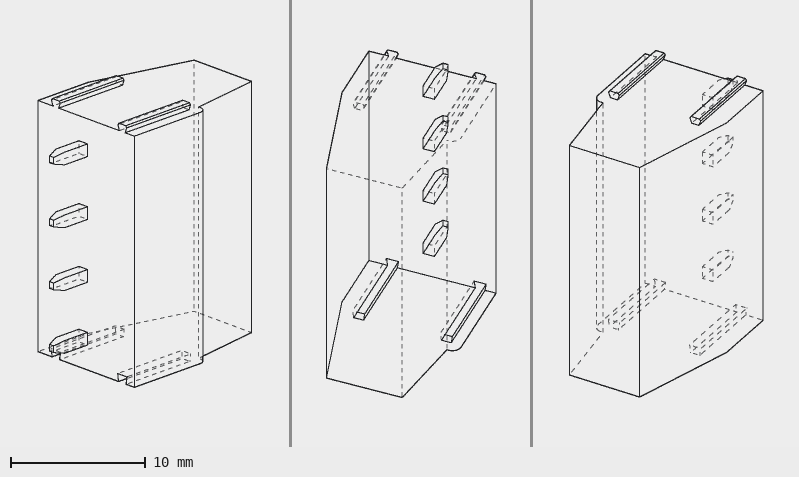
import cadquery as cq

overall_height = 20.6
pin_count = 4
pin_pitch = 5.0

body_width = 10.2
body_depth = 14.0
body_height = pin_count * pin_pitch
rear_left = 2.3
rear_right = 8.38
left_wall_depth = 5.3
shoulder_left = 9.33
shoulder_depth = 7.55
shoulder_radius = 0.72

rail_height = overall_height - body_height
rail_length = 6.65
rail_positions = (1.9, 8.92)
rail_base_width = 0.62
rail_full_width = 0.93
rail_chamfer_width = 0.1
rail_chamfer_height = 0.15
slot_depth = 0.62
slot_mouth_width = 0.78
slot_floor_width = 0.97

pin_x = 4.8
pin_width = 0.9
pin_height = 1.0
pin_shank_length = 2.39
pin_tip_length = 0.9
pin_tip_width = 0.43
pin_tip_height = 0.54


def make_body():
    """Tapered housing with a rounded shoulder on its +X side."""
    arc_start_x = body_width - shoulder_radius
    arc_end_y = shoulder_depth - shoulder_radius
    return (
        cq.Workplane("XY")
        .lineTo(body_width, 0)
        .lineTo(body_width, arc_end_y)
        .radiusArc((arc_start_x, shoulder_depth), -shoulder_radius)
        .lineTo(shoulder_left, shoulder_depth)
        .lineTo(rear_right, body_depth)
        .lineTo(rear_left, body_depth)
        .lineTo(0, left_wall_depth)
        .close()
        .extrude(body_height)
    )


def extrude_mirrored(half_profile, center_x, base_z):
    """Extrude a profile along Y; half_profile lists (half width, height) from bottom to top."""
    right_side = [(center_x + half_width, base_z + height) for half_width, height in half_profile]
    left_side = [(center_x - half_width, base_z + height) for half_width, height in reversed(half_profile)]
    return cq.Workplane("XZ").polyline(right_side + left_side).close().extrude(-rail_length)


def make_rail(center_x):
    """Dovetail rail with chamfered top edges."""
    half_profile = [
        (rail_base_width / 2, 0),
        (rail_full_width / 2, rail_height - rail_chamfer_height),
        (rail_full_width / 2 - rail_chamfer_width, rail_height),
    ]
    return extrude_mirrored(half_profile, center_x, body_height)


def make_slot(center_x):
    """Undercut slot, narrow at the bottom face and wider inside."""
    half_profile = [(slot_mouth_width / 2, 0), (slot_floor_width / 2, slot_depth)]
    return extrude_mirrored(half_profile, center_x, 0)


def make_pin(center_z):
    """Rectangular pin with a tapered tip, pointing toward -Y."""
    shank = (
        cq.Workplane("XZ", origin=(pin_x, 0, center_z))
        .rect(pin_width, pin_height)
        .extrude(pin_shank_length)
    )
    tip = (
        cq.Workplane("XZ", origin=(pin_x, -pin_shank_length, center_z))
        .rect(pin_width, pin_height)
        .workplane(offset=pin_tip_length)
        .rect(pin_tip_width, pin_tip_height)
        .loft(ruled=True)
    )
    return shank.union(tip)


result = make_body()
for rail_x in rail_positions:
    result = result.union(make_rail(rail_x)).cut(make_slot(rail_x))
for pin_index in range(pin_count):
    result = result.union(make_pin((pin_index + 0.5) * pin_pitch))